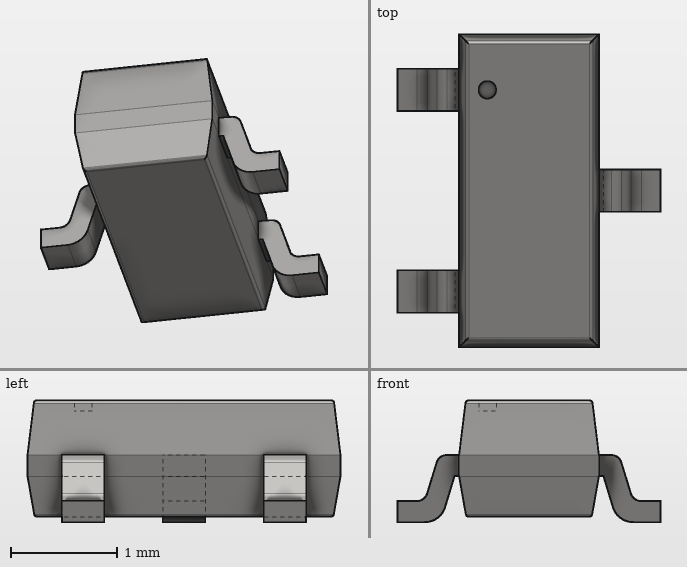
import cadquery as cq
import math

overall_span = 2.48
body_length = 2.95
body_width = 1.32
overall_height = 1.15
standoff = 0.05

lead_thickness = 0.2
band_top = 0.635
band_bottom = band_top - lead_thickness
upper_draft = 7.0
lower_draft = 10.0
edge_radius = 0.032

mark_diameter = 0.165
mark_depth = 0.1
mark_x = -0.392

lead_width = 0.4
lead_pitch = 1.9
lead_slope = 17.0
bend_radius = 0.1
heel_radius = 2 * bend_radius
shoulder_length = 0.04
lead_reach = (overall_span - body_width) / 2


def make_body():
    """Moulded housing with drafted sides, rounded rims and a pin 1 recess."""
    band = (
        cq.Workplane("XY", origin=(0, 0, band_bottom))
        .rect(body_width, body_length)
        .extrude(lead_thickness)
    )
    upper = (
        cq.Workplane("XY", origin=(0, 0, band_top))
        .rect(body_width, body_length)
        .extrude(overall_height - band_top, taper=upper_draft)
        .faces(">Z").edges().fillet(edge_radius)
    )
    lower = (
        cq.Workplane("XY", origin=(0, 0, band_bottom))
        .rect(body_width, body_length)
        .extrude(standoff - band_bottom, taper=lower_draft)
        .faces("<Z").edges().fillet(edge_radius)
    )
    mark = (
        cq.Workplane("XY", origin=(mark_x, lead_pitch / 2, overall_height))
        .circle(mark_diameter / 2)
        .extrude(-mark_depth)
    )
    return band.union(upper).union(lower).cut(mark)


def make_lead(side, center_y):
    """Gull-wing lead; side is -1 or +1 for the -X or +X side of the body."""
    slope = math.radians(lead_slope)
    body_face = body_width / 2
    toe = body_face + lead_reach
    knee_inner = body_face + shoulder_length
    leg_offset = lead_thickness / math.cos(slope)
    run_per_drop = math.tan(slope)
    knee_outer = knee_inner + leg_offset - lead_thickness * run_per_drop
    heel_outer = knee_inner + band_bottom * run_per_drop
    heel_inner = heel_outer + leg_offset - lead_thickness * run_per_drop

    half_turn = math.tan((math.pi / 2 - slope) / 2)
    bend_tangent = bend_radius * half_turn
    heel_tangent = heel_radius * half_turn
    mid = math.pi / 4 + slope / 2

    def leg_point(corner_x, corner_z, distance):
        return (
            side * (corner_x + distance * math.sin(slope)),
            corner_z - distance * math.cos(slope),
        )

    def arc_middle(center_x, center_z, radius, direction):
        return (
            side * (center_x + direction * radius * math.cos(mid)),
            center_z + direction * radius * math.sin(mid),
        )

    knee_x = knee_outer - bend_tangent
    heel_inner_x = heel_inner + bend_tangent
    heel_outer_x = heel_outer + heel_tangent
    knee_z = band_top - bend_radius
    heel_inner_z = lead_thickness + bend_radius
    profile = (
        cq.Workplane("XZ", origin=(0, center_y + lead_width / 2, 0))
        .moveTo(side * body_face, band_bottom)
        .lineTo(side * body_face, band_top)
        .lineTo(side * knee_x, band_top)
        .threePointArc(
            arc_middle(knee_x, knee_z, bend_radius, 1),
            leg_point(knee_outer, band_top, bend_tangent),
        )
        .lineTo(*leg_point(heel_inner, lead_thickness, -bend_tangent))
        .threePointArc(
            arc_middle(heel_inner_x, heel_inner_z, bend_radius, -1),
            (side * heel_inner_x, lead_thickness),
        )
        .lineTo(side * toe, lead_thickness)
        .lineTo(side * toe, 0)
        .lineTo(side * heel_outer_x, 0)
        .threePointArc(
            arc_middle(heel_outer_x, heel_radius, heel_radius, -1),
            leg_point(heel_outer, 0, -heel_tangent),
        )
        .lineTo(side * knee_inner, band_bottom)
        .close()
    )
    return profile.extrude(lead_width)


body = make_body()

lead_places = [(-1, -lead_pitch / 2), (-1, lead_pitch / 2), (1, 0)]
leads = [make_lead(side, center_y).val() for side, center_y in lead_places]

result = cq.Compound.makeCompound([body.val(), *leads])